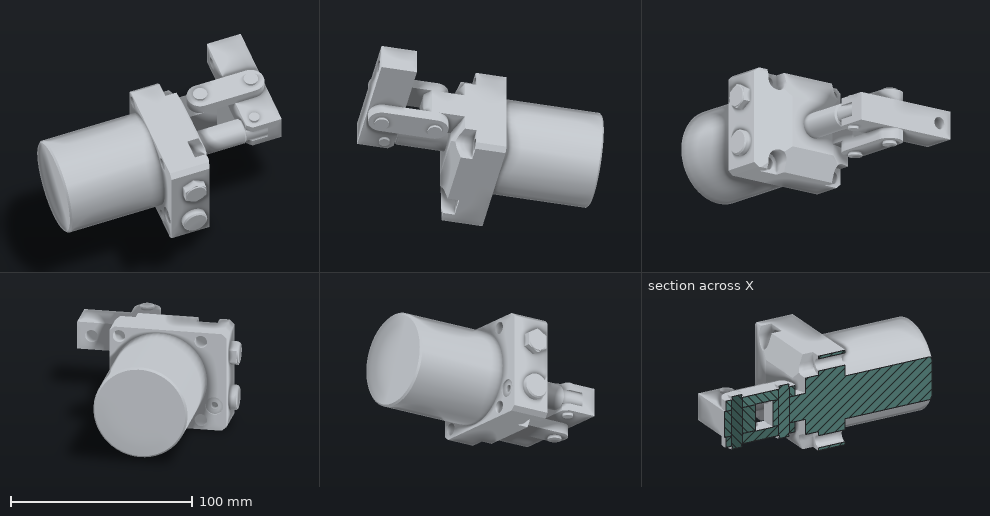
import cadquery as cq
import math


OVERALL_LENGTH = 132.5

CYLINDER_RADIUS = 26.5
CYLINDER_LENGTH = 55.5
CYLINDER_CHAMFER = 1.0

BLOCK_LEFT = -28.5
BLOCK_RIGHT = 37.5
BLOCK_HALF_HEIGHT = 28.5
BLOCK_DEPTH = 28.4
CORNER_CHAMFER_X = 2.8
CORNER_CHAMFER_Z = 2.4

FLAT_LEFT = -14.3
FLAT_RIGHT = 15.0
FLAT_HALF_HEIGHT = 14.3
SIDE_DROP = 4.9
RIGHT_DROP = 6.0

HOLE_DIAMETER = 7.0
HOLE_OFFSET = 23.0
SEAT_RADIUS = 6.0
SEAT_LEVEL = 17.0

RECESS_X = 30.5
RECESS_Z = -14.2
RECESS_DIAMETER = 10.1
RECESS_DEPTH = 1.0
RECESS_HOLE_DIAMETER = 4.0
RECESS_HOLE_DEPTH = 4.0

FITTING_Y = 12.7
FITTING_Z = 13.1
HEX_LENGTH = 4.4
CAP_LENGTH = 4.1
HEX_ACROSS_FLATS = 12.0
HEX_NOSE_LENGTH = 0.5
HEX_NOSE_TAPER = 35.0
CAP_DIAMETER = 14.0
CAP_CHAMFER = 0.8

ARM_LEFT = -58.0
ARM_RIGHT = 5.8
ARM_FRONT = OVERALL_LENGTH - CYLINDER_LENGTH
ARM_DEPTH = 20.0
ARM_REAR = ARM_FRONT - ARM_DEPTH
ARM_HALF_HEIGHT = 8.0
ARM_CHAMFER = 2.8
ARM_HOLE_INSET = 8.1

LINK_WIDTH = 15.0
LINK_THICKNESS = 6.1
LINK_X = BLOCK_LEFT + LINK_WIDTH / 2
LINK_PIN_PITCH = 30.0
ARM_PIN_INSET = 8.1
ARM_PIN_Y = ARM_FRONT - ARM_PIN_INSET
BLOCK_PIN_Y = ARM_PIN_Y - LINK_PIN_PITCH
LINK_PIN_DIAMETER = 8.0
PIN_NECK_DIAMETER = 7.2
PIN_NECK_LENGTH = 0.9
PIN_HEAD_LENGTH = 0.9
LINK_OUTER_Z = ARM_HALF_HEIGHT + LINK_THICKNESS

LUG_FRONT = 46.0
LUG_CHAMFER = 4.0

ROD_RADIUS = 7.0
ROD_SHOULDER_GAP = 0.9
ROD_SHOULDER_Y = ARM_REAR - ROD_SHOULDER_GAP
ROD_CHAMFER = 0.9
ROD_END_RADIUS = 6.0
ROD_END_HALF_THICKNESS = 4.0
KNUCKLE_INSET = 14.0
KNUCKLE_Y = ARM_FRONT - KNUCKLE_INSET
ROD_END_Y = KNUCKLE_Y + ROD_END_RADIUS
KNUCKLE_DIAMETER = 6.0
KNUCKLE_PROTRUSION = 1.6
KNUCKLE_CHAMFER = 0.1


def box(x_range, y_range, z_range):
    """Box between two limits on each axis."""
    (x0, x1), (y0, y1), (z0, z1) = x_range, y_range, z_range
    return cq.Workplane("XY").box(x1 - x0, y1 - y0, z1 - z0, centered=False).translate((x0, y0, z0))


def y_cylinder(x, z, y_start, y_end, radius):
    """Cylinder along Y, from y_start forward to y_end."""
    circle = cq.Workplane("XZ", origin=(x, y_start, z)).circle(radius)
    return circle.extrude(y_start - y_end)


def z_cylinder(x, y, half_length, radius):
    """Cylinder along Z, centred on Z = 0."""
    return cq.Workplane("XY", origin=(x, y, 0)).circle(radius).extrude(half_length, both=True)


def make_block():
    """Mounting block with chamfered corners and a front that slopes down to all four sides."""
    side_level = BLOCK_DEPTH - SIDE_DROP
    right_level = BLOCK_DEPTH - RIGHT_DROP
    plan = (
        cq.Workplane("XY")
        .polyline([
            (BLOCK_LEFT, 0),
            (BLOCK_RIGHT, 0),
            (BLOCK_RIGHT, right_level),
            (FLAT_RIGHT, BLOCK_DEPTH),
            (FLAT_LEFT, BLOCK_DEPTH),
            (BLOCK_LEFT, side_level),
        ])
        .close()
        .extrude(BLOCK_HALF_HEIGHT, both=True)
    )
    side = (
        cq.Workplane("YZ")
        .polyline([
            (0, -BLOCK_HALF_HEIGHT),
            (side_level, -BLOCK_HALF_HEIGHT),
            (BLOCK_DEPTH, -FLAT_HALF_HEIGHT),
            (BLOCK_DEPTH, FLAT_HALF_HEIGHT),
            (side_level, BLOCK_HALF_HEIGHT),
            (0, BLOCK_HALF_HEIGHT),
        ])
        .close()
        .extrude(BLOCK_RIGHT - BLOCK_LEFT)
        .translate((BLOCK_LEFT, 0, 0))
    )
    left_chamfer_end = BLOCK_LEFT + CORNER_CHAMFER_X
    right_chamfer_end = BLOCK_RIGHT - CORNER_CHAMFER_X
    chamfer_level = BLOCK_HALF_HEIGHT - CORNER_CHAMFER_Z
    outline = (
        cq.Workplane("XZ")
        .polyline([
            (left_chamfer_end, -BLOCK_HALF_HEIGHT),
            (right_chamfer_end, -BLOCK_HALF_HEIGHT),
            (BLOCK_RIGHT, -chamfer_level),
            (BLOCK_RIGHT, chamfer_level),
            (right_chamfer_end, BLOCK_HALF_HEIGHT),
            (left_chamfer_end, BLOCK_HALF_HEIGHT),
            (BLOCK_LEFT, chamfer_level),
            (BLOCK_LEFT, -chamfer_level),
        ])
        .close()
        .extrude(-BLOCK_DEPTH)
    )
    return plan.intersect(side).intersect(outline)


def make_screw_seat(x, side):
    """Cutter for one screw seat, open toward the nearest Z face; left seats also open to the left."""
    z = side * HOLE_OFFSET
    y_range = (SEAT_LEVEL, BLOCK_DEPTH)
    z_open = sorted((z, side * BLOCK_HALF_HEIGHT))
    seat = y_cylinder(x, z, *y_range, SEAT_RADIUS)
    seat = seat.union(box((x - SEAT_RADIUS, x + SEAT_RADIUS), y_range, z_open))
    if x < 0:
        z_full = sorted((z - side * SEAT_RADIUS, side * BLOCK_HALF_HEIGHT))
        seat = seat.union(box((BLOCK_LEFT, x), y_range, z_full))
    return seat


def make_lug():
    """Lug that carries the lower link pin, with its outer front corner chamfered."""
    lug = box(
        (BLOCK_LEFT, BLOCK_LEFT + LINK_WIDTH),
        (SEAT_LEVEL, LUG_FRONT),
        (-ARM_HALF_HEIGHT, ARM_HALF_HEIGHT),
    )
    return lug.edges("<X and >Y").chamfer(LUG_CHAMFER)


def make_fittings():
    """Hexagonal plug in the upper port and round cap in the lower port."""
    hex_diameter = HEX_ACROSS_FLATS / math.cos(math.pi / 6)
    hex_plug = (
        cq.Workplane("YZ", origin=(BLOCK_RIGHT, FITTING_Y, FITTING_Z))
        .transformed(rotate=(0, 0, 90))
        .polygon(6, hex_diameter)
        .extrude(HEX_LENGTH)
    )
    nose = (
        cq.Workplane("YZ", origin=(BLOCK_RIGHT + HEX_LENGTH, FITTING_Y, FITTING_Z))
        .circle(HEX_ACROSS_FLATS / 2)
        .extrude(HEX_NOSE_LENGTH, taper=HEX_NOSE_TAPER)
    )
    cap = (
        cq.Workplane("YZ", origin=(BLOCK_RIGHT, FITTING_Y, -FITTING_Z))
        .circle(CAP_DIAMETER / 2)
        .extrude(CAP_LENGTH)
        .faces(">X")
        .chamfer(CAP_CHAMFER)
    )
    return hex_plug.union(nose).union(cap)


def make_housing():
    """Block, cylinder, lug and port fittings in one piece."""
    block = make_block()
    for x in (-HOLE_OFFSET, HOLE_OFFSET):
        for side in (-1, 1):
            block = block.cut(y_cylinder(x, side * HOLE_OFFSET, 0, BLOCK_DEPTH, HOLE_DIAMETER / 2))
            block = block.cut(make_screw_seat(x, side))
    block = block.cut(y_cylinder(RECESS_X, RECESS_Z, 0, RECESS_DEPTH, RECESS_DIAMETER / 2))
    block = block.cut(y_cylinder(RECESS_X, RECESS_Z, 0, RECESS_HOLE_DEPTH, RECESS_HOLE_DIAMETER / 2))
    cylinder = y_cylinder(0, 0, -CYLINDER_LENGTH, 0, CYLINDER_RADIUS)
    cylinder = cylinder.faces("<Y").chamfer(CYLINDER_CHAMFER)
    housing = block.union(cylinder).union(make_lug()).union(make_fittings())
    return housing.cut(z_cylinder(LINK_X, BLOCK_PIN_Y, ARM_HALF_HEIGHT, LINK_PIN_DIAMETER / 2))


def make_arm():
    """Clamp arm with a bolt hole, a slot for the rod end and two pin holes."""
    arm = box((ARM_LEFT, ARM_RIGHT), (ARM_REAR, ARM_FRONT), (-ARM_HALF_HEIGHT, ARM_HALF_HEIGHT))
    arm = arm.edges(">X and <Y").chamfer(ARM_CHAMFER)
    arm = arm.cut(y_cylinder(ARM_LEFT + ARM_HOLE_INSET, 0, ARM_REAR, ARM_FRONT, HOLE_DIAMETER / 2))
    slot = box(
        (-ROD_END_RADIUS, ARM_RIGHT),
        (ARM_REAR, ROD_END_Y),
        (-ROD_END_HALF_THICKNESS, ROD_END_HALF_THICKNESS),
    )
    arm = arm.cut(slot)
    arm = arm.cut(z_cylinder(LINK_X, ARM_PIN_Y, ARM_HALF_HEIGHT, LINK_PIN_DIAMETER / 2))
    return arm.cut(z_cylinder(0, KNUCKLE_Y, ARM_HALF_HEIGHT, KNUCKLE_DIAMETER / 2))


def make_rod():
    """Rod with a flattened end and the knuckle pin that carries the arm."""
    shank = y_cylinder(0, 0, BLOCK_DEPTH, ROD_SHOULDER_Y, ROD_RADIUS)
    shank = shank.faces(">Y").chamfer(ROD_CHAMFER)
    flats = box(
        (-ROD_END_RADIUS, ROD_END_RADIUS),
        (ROD_SHOULDER_Y, ROD_END_Y),
        (-ROD_END_HALF_THICKNESS, ROD_END_HALF_THICKNESS),
    )
    rod_end = y_cylinder(0, 0, ROD_SHOULDER_Y, ROD_END_Y, ROD_END_RADIUS).intersect(flats)
    knuckle = z_cylinder(0, KNUCKLE_Y, ARM_HALF_HEIGHT + KNUCKLE_PROTRUSION, KNUCKLE_DIAMETER / 2)
    knuckle = knuckle.faces("|Z").chamfer(KNUCKLE_CHAMFER)
    return shank.union(rod_end).union(knuckle)


def make_link(z_start):
    """Link plate with round ends and two pin holes, from z_start upward."""
    return (
        cq.Workplane("XY", origin=(LINK_X, (ARM_PIN_Y + BLOCK_PIN_Y) / 2, z_start))
        .slot2D(LINK_PIN_PITCH + LINK_WIDTH, LINK_WIDTH, 90)
        .pushPoints([(0, -LINK_PIN_PITCH / 2), (0, LINK_PIN_PITCH / 2)])
        .circle(LINK_PIN_DIAMETER / 2)
        .extrude(LINK_THICKNESS)
    )


def make_link_pin(y):
    """Pin through both links, with a narrow neck behind the head at each end."""
    neck_end = LINK_OUTER_Z + PIN_NECK_LENGTH
    pin = z_cylinder(LINK_X, y, neck_end + PIN_HEAD_LENGTH, LINK_PIN_DIAMETER / 2)
    ring = (
        cq.Workplane("XY", origin=(LINK_X, y, LINK_OUTER_Z))
        .circle(LINK_PIN_DIAMETER / 2)
        .circle(PIN_NECK_DIAMETER / 2)
        .extrude(PIN_NECK_LENGTH)
    )
    return pin.cut(ring).cut(ring.mirror("XY"))


housing = make_housing()
arm = make_arm()
rod = make_rod()
links = [make_link(z_start) for z_start in (ARM_HALF_HEIGHT, -LINK_OUTER_Z)]
link_pins = [make_link_pin(y) for y in (ARM_PIN_Y, BLOCK_PIN_Y)]

result = cq.Compound.makeCompound([
    housing.val(),
    arm.val(),
    rod.val(),
    *[link.val() for link in links],
    *[pin.val() for pin in link_pins],
])